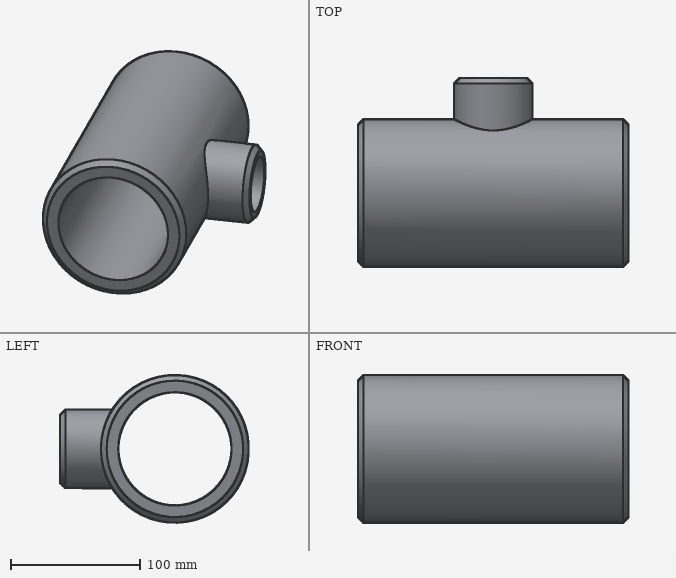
import cadquery as cq

run_length = 209.3
run_diameter = 114.3
run_bore = 87.3

branch_reach = 89.0
branch_diameter = 61.0
branch_wall = 8.8
branch_bore = branch_diameter - 2 * branch_wall

end_bevel = 4.4


def run_cylinder(diameter):
    """Cylinder along X over the full length of the main pipe."""
    return cq.Workplane("YZ").circle(diameter / 2).extrude(run_length / 2, both=True)


def branch_cylinder(diameter):
    """Cylinder from the main axis out to the branch end along +Y."""
    return cq.Workplane("XZ").circle(diameter / 2).extrude(-branch_reach)


run = run_cylinder(run_diameter).edges().chamfer(end_bevel)
branch = branch_cylinder(branch_diameter).faces(">Y").edges().chamfer(end_bevel)

result = run.union(branch).cut(run_cylinder(run_bore)).cut(branch_cylinder(branch_bore))